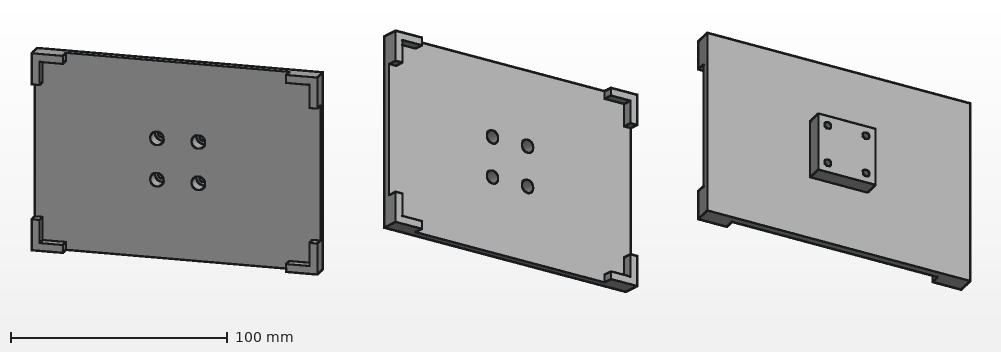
import cadquery as cq

length = 137.5
height = 95.0
plate_thickness = 4.0
guard_leg = 15.0
guard_wall = 3.8
block_side = 30.0
total_depth = 17.0
block_depth = 8.0
guard_depth = total_depth - plate_thickness - block_depth
hole_spacing = 20.0
hole_diameter = 3.5
counterbore_diameter = 6.5
counterbore_depth = 8.0


def box_from(y_start, size_x, size_y, size_z):
    """Box centred on X and Z, reaching from y_start towards +Y."""
    return cq.Workplane("XY").box(size_x, size_y, size_z).translate((0, y_start + size_y / 2, 0))


def corner_guard(side_x, side_z):
    """L-shaped lip flush with one plate corner, standing out towards -Y."""
    corner_x = side_x * length / 2
    corner_z = side_z * height / 2
    leg_x = corner_x - side_x * guard_leg
    leg_z = corner_z - side_z * guard_leg
    wall_x = corner_x - side_x * guard_wall
    wall_z = corner_z - side_z * guard_wall
    outline = [
        (corner_x, corner_z),
        (leg_x, corner_z),
        (leg_x, wall_z),
        (wall_x, wall_z),
        (wall_x, leg_z),
        (corner_x, leg_z),
    ]
    return cq.Workplane("XZ").polyline(outline).close().extrude(guard_depth)


plate = box_from(0, length, plate_thickness, height)
block = box_from(plate_thickness, block_side, block_depth, block_side)
result = plate.union(block)

for side_x in (-1, 1):
    for side_z in (-1, 1):
        result = result.union(corner_guard(side_x, side_z))

hole_depth = plate_thickness + block_depth
hole_centers = cq.Workplane("XZ").rect(hole_spacing, hole_spacing, forConstruction=True).vertices()
through_holes = hole_centers.circle(hole_diameter / 2).extrude(-hole_depth)
counterbores = hole_centers.circle(counterbore_diameter / 2).extrude(-counterbore_depth)
result = result.cut(through_holes).cut(counterbores)